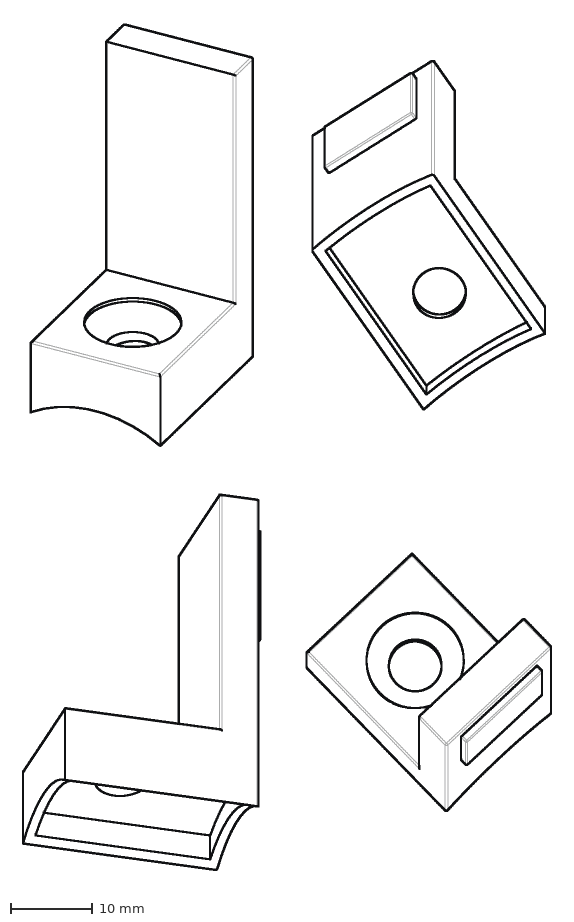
import cadquery as cq
import math

width = 18.0
depth = 25.0
wall_thickness = 5.0
edge_radius = 0.25

saddle_radius = 17.0
saddle_axis_z = -math.sqrt(saddle_radius**2 - (width / 2) ** 2)
saddle_crown_z = saddle_axis_z + saddle_radius

base_thickness = 7.5
wall_rise = 32.5
base_height = saddle_crown_z + base_thickness
height = base_height + wall_rise

screw_diameter = 6.5
head_diameter = 12.0
head_rim_depth = 0.5
head_cone_depth = (head_diameter - screw_diameter) / 2
wall_front_y = depth - wall_thickness
hole_y = wall_front_y / 2

pocket_wall = 1.25
pocket_depth = 3.0

pad_width = 13.0
pad_height = 15.0
pad_thickness = 1.0
pad_top_gap = 3.0
pad_edge_radius = 0.2


def make_l_block():
    """L-shaped block with lightly rounded wall and base edges."""
    profile = [
        (0, 0),
        (depth, 0),
        (depth, height),
        (wall_front_y, height),
        (wall_front_y, base_height),
        (0, base_height),
    ]
    block = cq.Workplane("YZ").polyline(profile).close().extrude(width / 2, both=True)

    wall_center = (0, wall_front_y, (base_height + height) / 2)
    wall_front = block.faces(cq.selectors.NearestToPointSelector(wall_center))
    base_top = block.faces(cq.selectors.NearestToPointSelector((0, hole_y, base_height)))

    rounded_edges = (
        block.faces(">Z").edges("|Y or >Y").vals()
        + block.faces(">Y").edges("|Z").vals()
        + wall_front.edges("|Z").vals()
        + base_top.edges("|Y or <Y").vals()
    )
    return block.newObject(rounded_edges).fillet(edge_radius)


def make_saddle_cylinder(radius):
    """Cylinder along Y on the saddle axis, spanning the full depth."""
    return cq.Workplane("XZ").center(0, saddle_axis_z).circle(radius).extrude(-depth)


def make_screw_hole_cutter():
    """Straight hole, cone and short straight rim, revolved about the hole axis."""
    rim_z = base_height - head_rim_depth
    profile = [
        (0, 0),
        (screw_diameter / 2, 0),
        (screw_diameter / 2, rim_z - head_cone_depth),
        (head_diameter / 2, rim_z),
        (head_diameter / 2, base_height),
        (0, base_height),
    ]
    cutter = cq.Workplane("XZ").polyline(profile).close().revolve(360, (0, 0, 0), (0, 1, 0))
    return cutter.translate((0, hole_y, 0))


def make_pocket_cutter():
    """Pocket with upright walls and a roof curved about the saddle axis."""
    walls = (
        cq.Workplane("XY")
        .center(0, depth / 2)
        .rect(width - 2 * pocket_wall, depth - 2 * pocket_wall)
        .extrude(base_height)
    )
    return walls.intersect(make_saddle_cylinder(saddle_radius + pocket_depth))


def make_pad():
    """Flat pad with every edge rounded except those against the wall."""
    pad = cq.Workplane("XY").box(pad_width, pad_thickness, pad_height)
    pad = pad.edges("|Y or >Y").fillet(pad_edge_radius)
    pad_center_z = height - pad_top_gap - pad_height / 2
    return pad.translate((0, depth + pad_thickness / 2, pad_center_z))


bracket = make_l_block().cut(make_saddle_cylinder(saddle_radius))
bracket = bracket.cut(make_screw_hole_cutter()).cut(make_pocket_cutter())
pad = make_pad()

result = cq.Compound.makeCompound([bracket.val(), pad.val()])